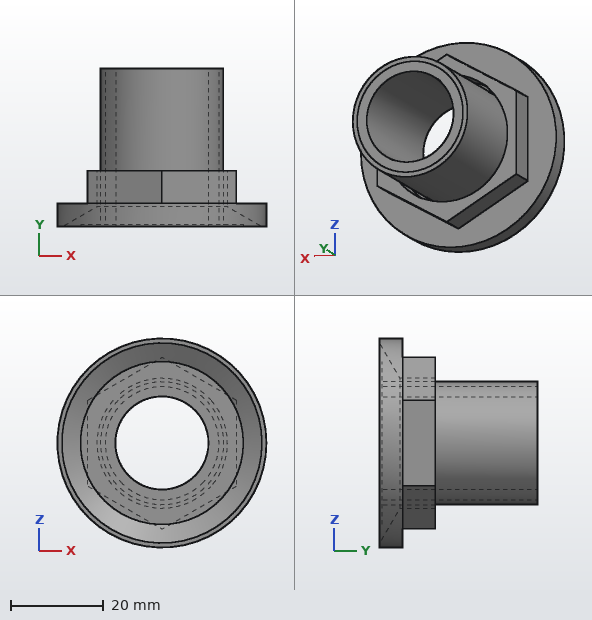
import cadquery as cq
import math

nut_diameter = 45.0
total_length = 34.0
collar_thickness = 5.0
hex_length = 7.0
hex_across_flats = 32.0
nut_hole_diameter = 28.0
dish_mouth_diameter = 43.0
dish_half_angle = math.radians(60)

bore_diameter = 20.0
liner_diameter = 24.4
sleeve_diameter = 26.45
flange_diameter = 35.0
flange_thickness = 0.5

front_y = -total_length / 2
collar_back_y = front_y + collar_thickness
flange_back_y = front_y + flange_thickness
sleeve_length = total_length - flange_thickness

hex_across_corners = hex_across_flats / math.cos(math.radians(30))
dish_depth = (dish_mouth_diameter - nut_hole_diameter) / 2 / math.tan(dish_half_angle)


def cylinder(diameter, start_y, length):
    """Solid cylinder on the Y axis, running toward +Y from start_y."""
    return cq.Workplane("XZ", origin=(0, start_y, 0)).circle(diameter / 2).extrude(-length)


def make_hexagon():
    """Hexagonal block behind the collar: flats at +X and -X, corners along Z."""
    return (
        cq.Workplane("XZ", origin=(0, collar_back_y, 0))
        .transformed(rotate=(0, 0, 90))
        .polygon(6, hex_across_corners)
        .extrude(-hex_length)
    )


def make_dish():
    """Cone narrowing from the dish mouth to the hole through the nut."""
    dish_floor_y = front_y + dish_depth
    return (
        cq.Workplane("XY")
        .moveTo(0, front_y)
        .lineTo(dish_mouth_diameter / 2, front_y)
        .lineTo(nut_hole_diameter / 2, dish_floor_y)
        .lineTo(0, dish_floor_y)
        .close()
        .revolve(360, (0, 0, 0), (0, 1, 0))
    )


def make_nut():
    """Round collar with a conical dish in front and a hexagon behind."""
    collar = cylinder(nut_diameter, front_y, collar_thickness)
    hole = cylinder(nut_hole_diameter, front_y, collar_thickness + hex_length)
    return collar.union(make_hexagon()).cut(make_dish()).cut(hole)


def make_liner():
    """Inner pipe with a thin flange at the front, flush with the nut rim."""
    flange = cylinder(flange_diameter, front_y, flange_thickness)
    pipe = cylinder(liner_diameter, front_y, total_length)
    bore = cylinder(bore_diameter, front_y, total_length)
    return flange.union(pipe).cut(bore)


def make_sleeve():
    """Outer tube around the liner, from the back of the flange to the end."""
    tube = cylinder(sleeve_diameter, flange_back_y, sleeve_length)
    return tube.cut(cylinder(liner_diameter, flange_back_y, sleeve_length))


nut = make_nut()
liner = make_liner()
sleeve = make_sleeve()

result = cq.Compound.makeCompound([nut.val(), liner.val(), sleeve.val()])